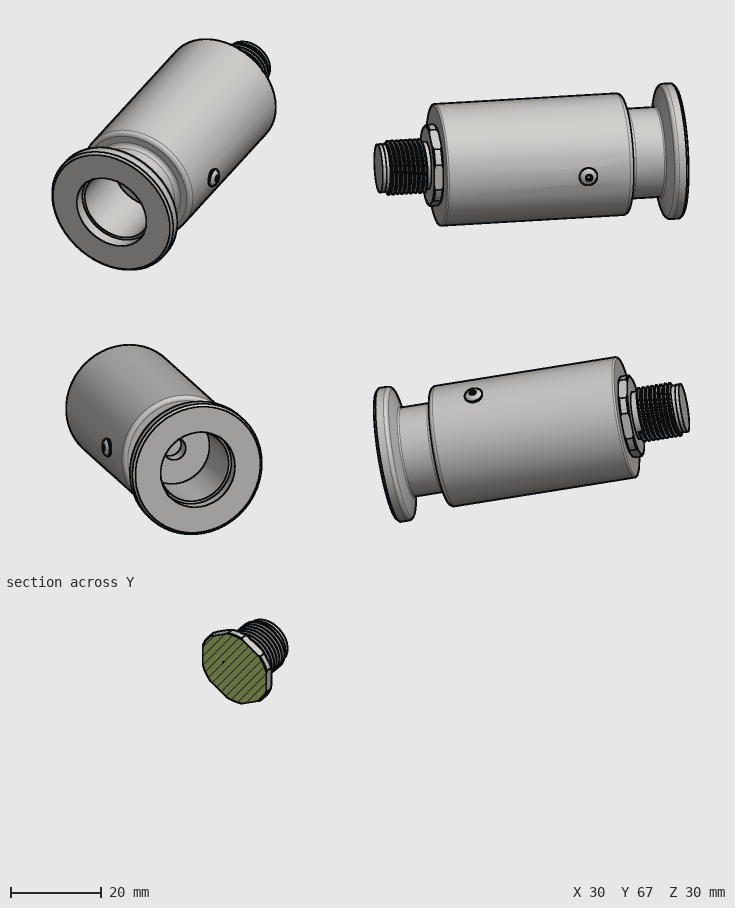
import cadquery as cq
import math


flange_diameter = 30.0
flange_front_chamfer = 0.55
flange_rim_end = 2.3
flange_rim_fillet = 1.0
flange_cone_angle = 15
neck_front_fillet = 0.4

neck_diameter = 19.95
neck_rear_fillet = 1.0
body_diameter = 27.0
body_front = 12.0
body_rear = 54.0
body_front_fillet = 1.0
body_rear_fillet = 0.4

recess_diameter = 17.2
recess_depth = 2.75
bore_diameter = 16.0
bore_depth = 16.75
port_diameter = 5.0
port_depth = 20.1

nut_across_flats = 17.2
nut_corner_diameter = 18.15
nut_rear = 56.1
nut_chamfer = 0.3

tip_rear = 67.0
collar_diameter = 10.7
collar_length = 0.9
core_diameter = 10.6
thread_diameter = 12.0
thread_pitch = 1.0
thread_turns = 9
thread_start = 57.0
thread_end = 65.3
ridge_base_width = 0.9
ridge_crest_width = 0.15
ridge_root_overlap = 0.15

screw_position = 22.45
screw_head_diameter = 4.0
screw_underside_diameter = 3.55
screw_seat = 13.3
screw_rim_start = 13.8
screw_rim_end = 14.0
screw_top = 14.75
screw_top_diameter = 1.8
screw_dome_bulge = 0.17
socket_across_flats = 1.0
socket_mouth_diameter = 1.5
socket_mouth_depth = 0.15
socket_depth = 0.7


def cylinder_y(diameter, start, end):
    """Cylinder on the Y axis between two positions."""
    return cq.Workplane("XZ", origin=(0, start, 0)).circle(diameter / 2).extrude(start - end)


def flange():
    """Flange disc with chamfered front edge and a conical, rounded rear face."""
    radius = flange_diameter / 2
    neck_radius = neck_diameter / 2
    slope = math.radians(flange_cone_angle)
    sin_slope = math.sin(slope)
    cos_slope = math.cos(slope)

    def on_arc(center, arc_radius, angle):
        return (center[0] + arc_radius * math.cos(angle), center[1] + arc_radius * math.sin(angle))

    cone_normal = math.pi / 2 - slope
    rim_center = (radius - flange_rim_fillet, flange_rim_end)
    rim_middle = on_arc(rim_center, flange_rim_fillet, cone_normal / 2)
    cone_outer = on_arc(rim_center, flange_rim_fillet, cone_normal)
    inner_center_x = neck_radius + neck_front_fillet
    cone_inner_x = inner_center_x - neck_front_fillet * sin_slope
    cone_inner_y = cone_outer[1] + (cone_outer[0] - cone_inner_x) * math.tan(slope)
    inner_center = (inner_center_x, cone_inner_y + neck_front_fillet * cos_slope)
    inner_middle = on_arc(inner_center, -neck_front_fillet, cone_normal / 2)

    return (
        cq.Workplane("XY")
        .moveTo(0, 0)
        .lineTo(radius - flange_front_chamfer, 0)
        .lineTo(radius, flange_front_chamfer)
        .lineTo(radius, flange_rim_end)
        .threePointArc(rim_middle, cone_outer)
        .lineTo(cone_inner_x, cone_inner_y)
        .threePointArc(inner_middle, (neck_radius, inner_center[1]))
        .lineTo(0, inner_center[1])
        .close()
        .revolve(360, (0, 0, 0), (0, 1, 0))
    )


def neck_and_body():
    """Body barrel with the neck blended into its front face."""
    body = cylinder_y(body_diameter, body_front, body_rear)
    body = body.faces("<Y").edges().fillet(body_front_fillet)
    body = body.faces(">Y").edges().fillet(body_rear_fillet)

    neck_radius = neck_diameter / 2
    blend_start = body_front - neck_rear_fillet
    diagonal = neck_rear_fillet * (1 - math.sqrt(0.5))
    neck = (
        cq.Workplane("XY")
        .moveTo(0, flange_rim_end)
        .lineTo(neck_radius, flange_rim_end)
        .lineTo(neck_radius, blend_start)
        .threePointArc(
            (neck_radius + diagonal, body_front - diagonal),
            (neck_radius + neck_rear_fillet, body_front),
        )
        .lineTo(0, body_front)
        .close()
        .revolve(360, (0, 0, 0), (0, 1, 0))
    )
    return body.union(neck)


def nut():
    """Hexagon nut with flats facing +X and -X, its corners turned round and chamfered."""
    across_corners = nut_across_flats / math.cos(math.pi / 6)
    hexagon = (
        cq.Workplane("XZ", origin=(0, body_rear, 0))
        .transformed(rotate=(0, 0, 30))
        .polygon(6, across_corners)
        .extrude(body_rear - nut_rear)
    )
    turned = cylinder_y(nut_corner_diameter, body_rear, nut_rear)
    turned = turned.faces("<Y or >Y").edges().chamfer(nut_chamfer)
    return hexagon.intersect(turned)


def thread_ridge():
    """Right-handed helical ridge, sunk slightly into the core and cut off flat at its end."""
    root = core_diameter / 2 - ridge_root_overlap
    crest = thread_diameter / 2
    helix = cq.Wire.makeHelix(thread_pitch, thread_pitch * thread_turns, root)
    ridge = (
        cq.Workplane("XZ")
        .moveTo(root, -ridge_base_width / 2)
        .lineTo(crest, -ridge_crest_width / 2)
        .lineTo(crest, ridge_crest_width / 2)
        .lineTo(root, ridge_base_width / 2)
        .close()
        .sweep(cq.Workplane(obj=helix), isFrenet=True)
    )
    ridge = ridge.rotate((0, 0, 0), (0, 0, 1), 90)
    ridge = ridge.rotate((0, 0, 0), (1, 0, 0), -90)
    ridge = ridge.translate((0, thread_start, 0))
    return ridge.intersect(cylinder_y(thread_diameter + thread_pitch, body_rear, thread_end))


def connector():
    """Threaded stem with a plain collar at its tip."""
    core = cylinder_y(core_diameter, body_rear, tip_rear)
    collar = cylinder_y(collar_diameter, tip_rear - collar_length, tip_rear)
    return core.union(thread_ridge()).union(collar)


def screw():
    """Button-head screw along X, its head facing +X with a hexagon socket."""
    head_radius = screw_head_diameter / 2
    top_radius = screw_top_diameter / 2
    head = (
        cq.Workplane("XY")
        .moveTo(screw_seat, 0)
        .lineTo(screw_seat, screw_underside_diameter / 2)
        .lineTo(screw_rim_start, head_radius)
        .lineTo(screw_rim_end, head_radius)
        .sagittaArc((screw_top, top_radius), screw_dome_bulge)
        .lineTo(screw_top, 0)
        .close()
        .revolve(360, (0, 0, 0), (1, 0, 0))
    )
    across_corners = socket_across_flats / math.cos(math.pi / 6)
    socket = (
        cq.Workplane("YZ", origin=(screw_top, 0, 0))
        .transformed(rotate=(0, 0, 90))
        .polygon(6, across_corners)
        .extrude(-socket_depth)
    )
    mouth = (
        cq.Workplane("YZ", origin=(screw_top, 0, 0))
        .circle(socket_mouth_diameter / 2)
        .workplane(offset=-socket_mouth_depth)
        .circle(socket_across_flats / 2)
        .loft()
    )
    return head.cut(socket).cut(mouth)


def stepped_bore():
    """Centring recess, main bore and central port, all open at the flange face."""
    recess = cylinder_y(recess_diameter, 0, recess_depth)
    bore = cylinder_y(bore_diameter, 0, bore_depth)
    port = cylinder_y(port_diameter, 0, port_depth)
    return recess.union(bore).union(port)


result = flange().union(neck_and_body()).union(nut()).union(connector())
result = result.cut(stepped_bore())
for side_angle in (0, 180):
    side_screw = screw().rotate((0, 0, 0), (0, 0, 1), side_angle)
    result = result.union(side_screw.translate((0, screw_position, 0)))